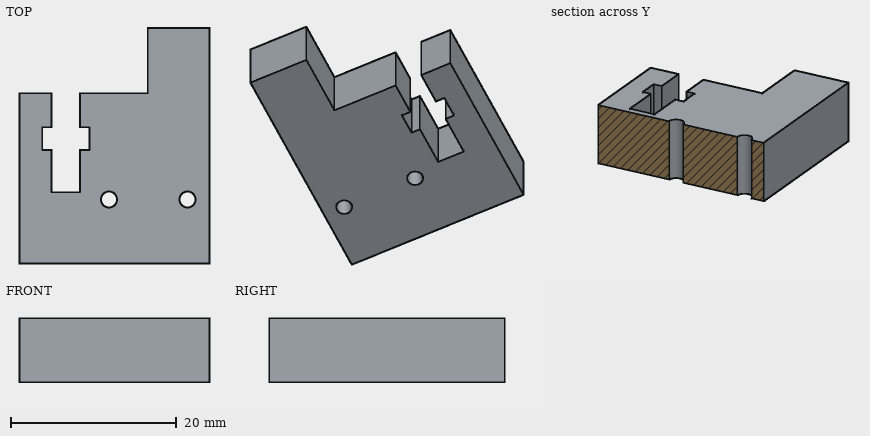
import cadquery as cq

width = 23.0
length = 28.5
thickness = 7.75
arm_width = 7.5
shoulder_y = 20.6

slot_center_x = 5.61
slot_width = 3.42
slot_end_y = 8.64
cross_width = 5.67
cross_height = 2.7
cross_center_y = 15.1

hole_diameter = 1.9
hole_y = 7.75
hole_xs = (10.83, 20.32)


def through_box(x_start, y_start, x_size, y_size):
    """Rectangular prism through the full thickness, placed by its lower left corner."""
    return cq.Workplane("XY").box(x_size, y_size, thickness, centered=False).translate((x_start, y_start, 0))


def make_body():
    block = through_box(0, 0, width, length)
    notch = through_box(0, shoulder_y, width - arm_width, length - shoulder_y)
    return block.cut(notch)


def make_slot():
    slot = through_box(slot_center_x - slot_width / 2, slot_end_y, slot_width, shoulder_y - slot_end_y)
    cross = through_box(
        slot_center_x - cross_width / 2,
        cross_center_y - cross_height / 2,
        cross_width,
        cross_height,
    )
    return slot.union(cross)


def make_holes():
    centers = [(x, hole_y) for x in hole_xs]
    return cq.Workplane("XY").pushPoints(centers).circle(hole_diameter / 2).extrude(thickness)


result = make_body().cut(make_slot()).cut(make_holes())